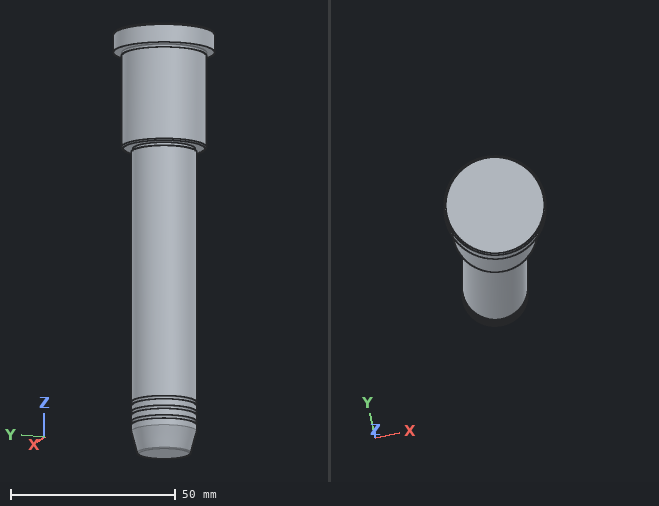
import cadquery as cq
import math

total_length = 131.0
head_diameter = 31.0
head_height = 6.0
head_chamfer = 0.5

shoulder_diameter = 26.0
shoulder_length = 30.0
shoulder_chamfer = 0.5

shaft_diameter = 20.0
neck_length = 1.0
neck_depth = 0.5
taper_length = 7.0
taper_angle = 15.0
tip_round = 0.5

groove_radius = 0.5
groove_count = 3
groove_pitch = 3.0
lowest_groove_above_taper = 2.0

head_bottom = total_length - head_height
shoulder_bottom = head_bottom - shoulder_length


def cylinder(diameter, bottom, top):
    """Solid round bar on the Z axis between two heights."""
    return cq.Workplane("XY").workplane(offset=bottom).circle(diameter / 2).extrude(top - bottom)


def round_groove(diameter, bottom):
    """Torus that cuts one half-round groove into a round bar, starting at the given height."""
    radius = diameter / 2
    section = cq.Workplane("XZ").moveTo(radius, bottom + groove_radius).circle(groove_radius)
    return section.revolve(360, (0, 0, 0), (0, 1, 0))


def make_head():
    head = cylinder(head_diameter, head_bottom, total_length)
    return head.faces(">Z").edges().chamfer(head_chamfer)


def make_shoulder():
    shoulder = cylinder(shoulder_diameter, shoulder_bottom, head_bottom)
    shoulder = shoulder.faces("<Z").edges().chamfer(shoulder_chamfer)
    return shoulder.cut(round_groove(shoulder_diameter, head_bottom - 2 * groove_radius))


def make_shaft():
    shaft_radius = shaft_diameter / 2
    neck_radius = shaft_radius - neck_depth
    neck_bottom = shoulder_bottom - neck_length
    tip_radius = shaft_radius - taper_length * math.tan(math.radians(taper_angle))
    profile = (
        cq.Workplane("XZ")
        .moveTo(0, 0)
        .lineTo(tip_radius, 0)
        .lineTo(shaft_radius, taper_length)
        .lineTo(shaft_radius, neck_bottom)
        .lineTo(neck_radius, neck_bottom)
        .lineTo(neck_radius, shoulder_bottom)
        .lineTo(0, shoulder_bottom)
        .close()
    )
    shaft = profile.revolve(360, (0, 0, 0), (0, 1, 0))
    shaft = shaft.faces("<Z").edges().fillet(tip_round)

    for index in range(groove_count):
        groove_bottom = taper_length + lowest_groove_above_taper + index * groove_pitch
        shaft = shaft.cut(round_groove(shaft_diameter, groove_bottom))
    return shaft


result = make_head().union(make_shoulder()).union(make_shaft())